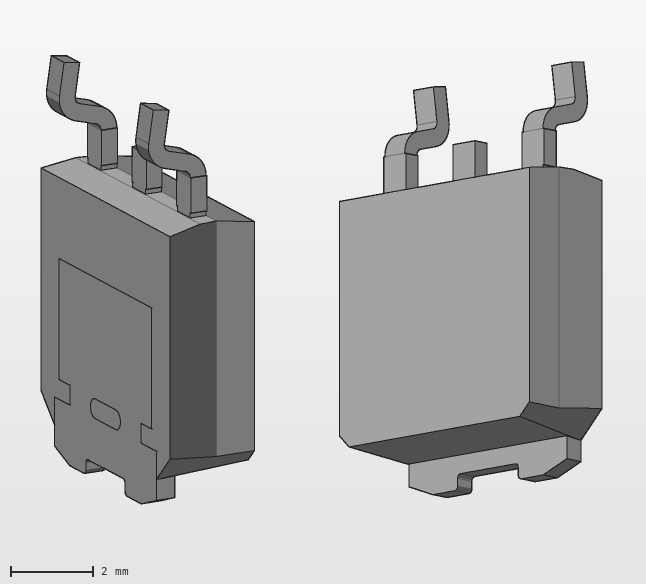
import cadquery as cq
import math

TOTAL_HEIGHT = 10.16

FRONT_WIDTH = 6.6
BACK_WIDTH = 6.28
HOUSING_DEPTH = 2.41
PARTING_Y = 1.36
HOUSING_TOP = 7.29
TOP_EDGE = 7.13
TOP_FLAT_FRONT_Y = 0.89
BOTTOM_FRONT = 0.81
BOTTOM_BACK = 1.04
CORNER_START = 1.51

TAB_THICKNESS = 0.51
TAB_PAD_WIDTH = 4.73
TAB_PAD_TOP = 5.09
TAB_FOOT_WIDTH = 5.22
TAB_WAIST_WIDTH = 3.66
LOCK_BOTTOM = 1.53
LOCK_HEIGHT = 0.5
LOCK_SLOT_LENGTH = 1.53
FOOT_SLOPE_TOP = 0.29
FOOT_NOTCH_WIDTH = 2.0
FOOT_NOTCH_HEIGHT = 0.4
FOOT_NOTCH_RADIUS = 0.1

LEAD_PITCH = 2.29
LEAD_THICKNESS = 0.44
LEAD_WIDTH = 0.66
SHOULDER_WIDTH = 0.73
SHOULDER_BOTTOM = 7.42
SHOULDER_TOP = 8.31
BEND_INNER_RADIUS = 0.18
RAMP_ANGLE = 15.0
RAMP_LENGTH = 0.57
TIP_LEAN = 8.5


def front_prism(points, depth):
    """Extrude a closed X-Z outline from the mounting face backwards along +Y."""
    return cq.Workplane("XZ").polyline(points).close().extrude(-depth)


def mirrored(points):
    """Complete an outline whose right half runs from the bottom to the top."""
    return points + [(-x, z) for x, z in reversed(points)]


def make_tab():
    lock_top = LOCK_BOTTOM + LOCK_HEIGHT
    right_half = [
        (TAB_WAIST_WIDTH / 2, 0),
        (TAB_FOOT_WIDTH / 2, FOOT_SLOPE_TOP),
        (TAB_FOOT_WIDTH / 2, LOCK_BOTTOM),
        (TAB_WAIST_WIDTH / 2, LOCK_BOTTOM),
        (TAB_WAIST_WIDTH / 2, lock_top),
        (TAB_PAD_WIDTH / 2, lock_top),
        (TAB_PAD_WIDTH / 2, TAB_PAD_TOP),
    ]
    tab = front_prism(mirrored(right_half), TAB_THICKNESS)

    notch_right = [(FOOT_NOTCH_WIDTH / 2, 0), (FOOT_NOTCH_WIDTH / 2, FOOT_NOTCH_HEIGHT)]
    tab = tab.cut(front_prism(mirrored(notch_right), TAB_THICKNESS))
    notch_corners = cq.selectors.BoxSelector(
        (-FOOT_NOTCH_WIDTH / 2 - FOOT_NOTCH_RADIUS, 0, -FOOT_NOTCH_RADIUS),
        (FOOT_NOTCH_WIDTH / 2 + FOOT_NOTCH_RADIUS, TAB_THICKNESS, FOOT_NOTCH_HEIGHT + FOOT_NOTCH_RADIUS),
    )
    tab = tab.edges("|Y").edges(notch_corners).fillet(FOOT_NOTCH_RADIUS)

    slot = (
        cq.Workplane("XZ")
        .center(0, LOCK_BOTTOM + LOCK_HEIGHT / 2)
        .slot2D(LOCK_SLOT_LENGTH, LOCK_HEIGHT)
        .extrude(-TAB_THICKNESS)
    )
    return tab.cut(slot)


def make_housing(tab):
    side_profile = [
        (0, BOTTOM_FRONT),
        (0, TOP_EDGE),
        (TOP_FLAT_FRONT_Y, HOUSING_TOP),
        (PARTING_Y, HOUSING_TOP),
        (HOUSING_DEPTH, TOP_EDGE),
        (HOUSING_DEPTH, BOTTOM_BACK),
    ]
    body = cq.Workplane("YZ").polyline(side_profile).close().extrude(FRONT_WIDTH / 2, both=True)

    plan_right = [(FRONT_WIDTH / 2, 0), (BACK_WIDTH / 2, PARTING_Y), (BACK_WIDTH / 2, HOUSING_DEPTH)]
    body = body.intersect(cq.Workplane("XY").polyline(mirrored(plan_right)).close().extrude(HOUSING_TOP))

    cut_right = [
        (FRONT_WIDTH / 2 - CORNER_START, 0),
        (FRONT_WIDTH / 2, CORNER_START),
        (FRONT_WIDTH / 2, HOUSING_TOP),
    ]
    body = body.intersect(front_prism(mirrored(cut_right), HOUSING_DEPTH))

    return body.cut(tab)


def upright_bar(width, bottom, top):
    """Straight vertical lead section whose back face lies on the parting line."""
    bar = cq.Workplane("XY").box(width, LEAD_THICKNESS, top - bottom, centered=(True, False, False))
    return bar.translate((0, PARTING_Y - LEAD_THICKNESS, bottom))


def make_stub():
    """Short straight lead: a narrow neck and a wider shoulder."""
    neck = upright_bar(LEAD_WIDTH, HOUSING_TOP, SHOULDER_BOTTOM)
    return neck.union(upright_bar(SHOULDER_WIDTH, SHOULDER_BOTTOM, SHOULDER_TOP))


def make_bent_lead():
    """Stub continued by a strip that bends forward along a ramp and then up to the tip."""
    inner = BEND_INNER_RADIUS
    outer = BEND_INNER_RADIUS + LEAD_THICKNESS
    ramp = math.radians(RAMP_ANGLE)
    lean = math.radians(TIP_LEAN)

    lower_y = PARTING_Y - outer
    lower_z = SHOULDER_TOP
    centre_gap = inner + outer
    upper_y = lower_y + centre_gap * math.sin(ramp) - RAMP_LENGTH * math.cos(ramp)
    upper_z = lower_z + centre_gap * math.cos(ramp) + RAMP_LENGTH * math.sin(ramp)

    def lower_bend(radius, angle):
        """Point on the lower bend, angle measured from straight up towards the back."""
        return (lower_y + radius * math.sin(angle), lower_z + radius * math.cos(angle))

    def upper_bend(radius, angle):
        """Point on the upper bend, angle measured from straight forward towards up."""
        return (upper_y - radius * math.cos(angle), upper_z + radius * math.sin(angle))

    lower_start = math.pi / 2
    lower_middle = (lower_start + ramp) / 2
    upper_start = ramp - math.pi / 2
    upper_middle = (upper_start + lean) / 2

    front_y, front_z = upper_bend(outer, lean)
    tip_length = (TOTAL_HEIGHT - front_z) / math.cos(lean)

    def tip_end(radius):
        y, z = upper_bend(radius, lean)
        return (y + tip_length * math.sin(lean), z + tip_length * math.cos(lean))

    strip = (
        cq.Workplane("YZ")
        .moveTo(*lower_bend(outer, lower_start))
        .threePointArc(lower_bend(outer, lower_middle), lower_bend(outer, ramp))
        .lineTo(*upper_bend(inner, upper_start))
        .threePointArc(upper_bend(inner, upper_middle), upper_bend(inner, lean))
        .lineTo(*tip_end(inner))
        .lineTo(*tip_end(outer))
        .lineTo(front_y, front_z)
        .threePointArc(upper_bend(outer, upper_middle), upper_bend(outer, upper_start))
        .lineTo(*lower_bend(inner, ramp))
        .threePointArc(lower_bend(inner, lower_middle), lower_bend(inner, lower_start))
        .close()
        .extrude(LEAD_WIDTH / 2, both=True)
    )
    return make_stub().union(strip)


tab = make_tab()
housing = make_housing(tab)
middle_lead = make_stub()
outer_leads = [make_bent_lead().translate((x, 0, 0)) for x in (-LEAD_PITCH, LEAD_PITCH)]

result = cq.Compound.makeCompound(
    [housing.val(), tab.val(), middle_lead.val(), *[lead.val() for lead in outer_leads]]
)